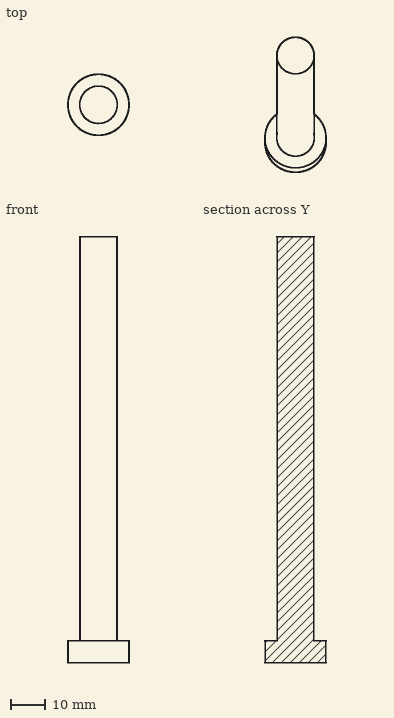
import cadquery as cq

total_length = 125.0
head_diameter = 18.0
head_height = 6.5
shank_diameter = 11.0

shank_length = total_length - head_height

head = cq.Workplane("XY").circle(head_diameter / 2).extrude(head_height)

result = head.faces(">Z").workplane().circle(shank_diameter / 2).extrude(shank_length)